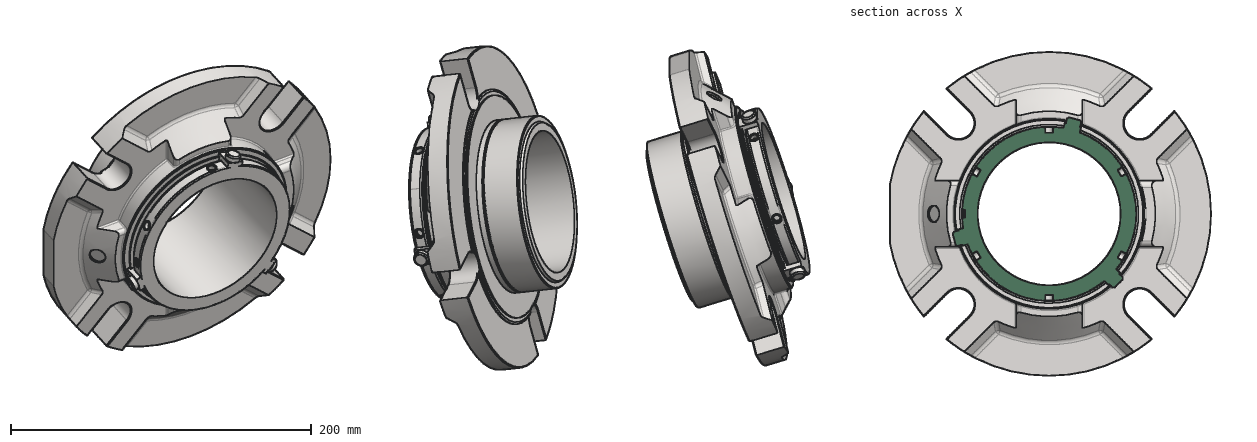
import math

import cadquery as cq

NOSE_END = 1.7
GROOVE_START = 25.6
GROOVE_END = 27.0
PILOT_FACE = 31.0
RIM_FACE = 31.9
FLANGE_BACK = 33.0
FLANGE_FRONT = 47.1
BOSS_FACE = 53.1
LOBE_FACE = 64.1
LOW_LOBE_FACE = 61.7
HUB_FACE = 66.0
SNAP_RING_START = 67.2
SNAP_RING_END = 68.0
DRIVE_RING_START = 69.7
DRIVE_RING_END = 79.0

TOLERANCE = 0.01

BORE = 95.0
SLEEVE = 98.4
NOSE = 107.92
GROOVE = 112.93
BARREL = 115.88
DRIVE_RING = 116.2
SNAP_RING_SEAT = 117.42
SNAP_RING = 118.95
HUB = 126.6
PILOT = 149.22
RIM = 157.4
FLANGE = 215.65

NOSE_CHAMFER_DEPTH = 1.0
RIM_CHAMFER_LENGTH = 0.6
RIM_CHAMFER_DEPTH = 1.4
HUB_CHAMFER = 0.8
DRIVE_RING_CHAMFER_LENGTH = 1.3
DRIVE_RING_CHAMFER_DEPTH = 0.5
EDGE_CHAMFER = 0.6
FLANGE_ROOT_FILLET = 4.0
POCKET_ROOT_FILLET = 1.0

FLAT_OFFSET = 106.0
SLOT_WIDTH = 21.0
SLOT_BOTTOM = 74.8
SLOT_ANGLES = (45, 135, 225, 315)

BOSS_BASE_HALF_WIDTH = 31.0
BOSS_TOP_HALF_WIDTH = BOSS_BASE_HALF_WIDTH - (BOSS_FACE - FLANGE_FRONT)

CONE_TOP_RADIUS = 68.3
LOBE_WIDTH = 44.0
LOBE_CORNER_RADIUS = 3.0
LOW_LOBE_CORNER_RADIUS = 4.2
LOBE_ANGLES = (0, 90, 180, 270)
LOW_LOBE_ANGLE = 0

PORT_DIAMETER = 11.0
PORT_X = 55.4
PORT_DEPTH = 1.6

SCREW_HOLE = 4.92
SCREW_COUNTERBORE = 6.6
SCREW_COUNTERBORE_DEPTH = 0.5
SCREW_HOLE_DEPTH = 4.0
SCREW_ANGLES = (30, 90, 150, 210, 270, 330)
SLOTTED_SCREW_ANGLE = 180
SLOTTED_SCREW_RECESS = 0.8
SCREW_SLOT_WIDTH = 1.2
SCREW_SLOT_DEPTH = 1.2
SCREW_X = (DRIVE_RING_START + DRIVE_RING_END) / 2

CLIP_ANGLES = (75, 195, 315)
CLIP_START = 66.3
CLIP_WIDTH = 11.4
CLIP_TOP = 61.2
CLIP_SEAT = 57.5
CLIP_LEG_BOTTOM = 54.4
CAP_DIAMETER = 10.0
CAP_TOP = 65.5
CAP_CHAMFER = 1.0
CAP_X = 74.63


def around_axis(shape, angle):
    """Turn a shape built towards +Y about X; 0 is +Y, 90 is +Z."""
    return shape.rotate((0, 0, 0), (1, 0, 0), angle)


def revolved(points):
    """Solid of revolution from (x, radius) points, closed along the axis."""
    closed = [(points[0][0], 0), *points, (points[-1][0], 0)]
    return cq.Workplane("XY").polyline(closed).close().revolve(360, (0, 0, 0), (1, 0, 0))


def cylinder(start, end, diameter):
    return revolved([(start, diameter / 2), (end, diameter / 2)])


def radial_pin(x, bottom, top, diameter):
    """Cylinder pointing towards +Y between two radii."""
    return cq.Workplane("XZ", origin=(x, bottom, 0)).circle(diameter / 2).extrude(bottom - top)


def block(x_range, y_range, width):
    """Block standing towards +Y, centred on Z."""
    length = x_range[1] - x_range[0]
    height = y_range[1] - y_range[0]
    corner = cq.Workplane("XY", origin=(x_range[0], y_range[0], 0))
    return corner.box(length, height, width, centered=(False, False, True))


def sleeve():
    return revolved([
        (0, NOSE / 2 - NOSE_CHAMFER_DEPTH),
        (NOSE_END, NOSE / 2),
        (NOSE_END, BARREL / 2 - EDGE_CHAMFER),
        (NOSE_END + EDGE_CHAMFER, BARREL / 2),
        (GROOVE_START, BARREL / 2),
        (GROOVE_START, GROOVE / 2),
        (GROOVE_END, GROOVE / 2),
        (GROOVE_END, BARREL / 2),
        (PILOT_FACE, BARREL / 2),
        (PILOT_FACE, SLEEVE / 2),
        (DRIVE_RING_END, SLEEVE / 2),
    ])


def flange_plate():
    plate = revolved([
        (PILOT_FACE, PILOT / 2),
        (RIM_FACE, PILOT / 2),
        (RIM_FACE, RIM / 2 - RIM_CHAMFER_DEPTH),
        (RIM_FACE + RIM_CHAMFER_LENGTH, RIM / 2),
        (FLANGE_BACK, RIM / 2),
        (FLANGE_BACK, FLANGE / 2),
        (FLANGE_FRONT, FLANGE / 2),
    ])
    beyond_flat = block((FLANGE_BACK, FLANGE_FRONT), (FLAT_OFFSET, FLANGE), FLANGE)
    return plate.cut(around_axis(beyond_flat, 180))


def slot_boss():
    profile = [
        (FLANGE_FRONT, -BOSS_BASE_HALF_WIDTH),
        (FLANGE_FRONT, BOSS_BASE_HALF_WIDTH),
        (BOSS_FACE, BOSS_TOP_HALF_WIDTH),
        (BOSS_FACE, -BOSS_TOP_HALF_WIDTH),
    ]
    inner_radius = SLEEVE / 2
    bar = cq.Workplane("XZ", origin=(0, inner_radius, 0)).polyline(profile).close()
    return bar.extrude(inner_radius - FLANGE).intersect(cylinder(FLANGE_FRONT, BOSS_FACE, FLANGE))


def cone_radius(x):
    return CONE_TOP_RADIUS + LOBE_FACE - x


def cone(end):
    return revolved([(FLANGE_FRONT, cone_radius(FLANGE_FRONT)), (end, cone_radius(end))])


def lobe(angle):
    is_low = angle == LOW_LOBE_ANGLE
    top = LOW_LOBE_FACE if is_low else LOBE_FACE
    corner_radius = LOW_LOBE_CORNER_RADIUS if is_low else LOBE_CORNER_RADIUS
    envelope = block((FLANGE_FRONT, top), (0, FLANGE / 2), LOBE_WIDTH)
    envelope = envelope.edges(">X and |Y").fillet(corner_radius)
    return around_axis(envelope.intersect(cone(top)), angle)


def hub():
    return revolved([
        (FLANGE_FRONT, HUB / 2),
        (HUB_FACE - HUB_CHAMFER, HUB / 2),
        (HUB_FACE, HUB / 2 - HUB_CHAMFER),
        (HUB_FACE, SNAP_RING_SEAT / 2),
        (SNAP_RING_START, SNAP_RING_SEAT / 2),
        (SNAP_RING_START, SNAP_RING / 2),
        (SNAP_RING_END, SNAP_RING / 2),
    ])


def middle_of(edge):
    """Station along X and radius of the middle of an edge."""
    middle = edge.positionAt(0.5)
    return middle.x, math.hypot(middle.y, middle.z)


def is_flange_root(edge):
    """True for the inside corners where cone and pads meet the flange and each other."""
    x, radius = middle_of(edge)
    below_pad_tops = FLANGE_FRONT - TOLERANCE < x < BOSS_FACE - TOLERANCE
    return below_pad_tops and radius < FLAT_OFFSET - TOLERANCE


def is_back_rim(edge):
    """True for the outer rim of the flange's back face, flat included."""
    x, radius = middle_of(edge)
    return abs(x - FLANGE_BACK) < TOLERANCE and radius > FLAT_OFFSET - TOLERANCE


def is_pocket_root(edge):
    """True for the inside corners of the pockets between the lobes."""
    x, radius = middle_of(edge)
    on_floor = abs(x - BOSS_FACE) < TOLERANCE and radius < cone_radius(BOSS_FACE) - TOLERANCE
    on_hub = abs(radius - HUB / 2) < TOLERANCE and BOSS_FACE < x < LOW_LOBE_FACE
    return on_floor or (on_hub and edge.geomType() == "LINE")


def bolt_slot(angle):
    """Open slot with its back and front rims chamfered."""
    centre = SLOT_BOTTOM + SLOT_WIDTH / 2

    def slot_outline(x, width):
        return (
            cq.Workplane("YZ", origin=(x, 0, 0))
            .moveTo(FLANGE, -width / 2)
            .lineTo(centre, -width / 2)
            .threePointArc((centre - width / 2, 0), (centre, width / 2))
            .lineTo(FLANGE, width / 2)
            .close()
        )

    slot = slot_outline(PILOT_FACE, SLOT_WIDTH).extrude(BOSS_FACE - PILOT_FACE)
    wide = SLOT_WIDTH + 2 * EDGE_CHAMFER
    back = slot_outline(FLANGE_BACK, wide).extrude(EDGE_CHAMFER, taper=45)
    back = back.cut(cylinder(PILOT_FACE, BOSS_FACE, RIM))
    front = slot_outline(BOSS_FACE, wide).extrude(-EDGE_CHAMFER, taper=45)
    return around_axis(slot.union(back).union(front), angle)


def gland():
    body = flange_plate().union(cone(BOSS_FACE))
    for angle in SLOT_ANGLES:
        body = body.union(around_axis(slot_boss(), angle))
    roots = [edge for edge in body.edges().vals() if is_flange_root(edge)]
    body = body.newObject(roots).fillet(FLANGE_ROOT_FILLET)
    outer_rim = [edge for edge in body.edges().vals() if is_back_rim(edge)]
    body = body.newObject(outer_rim).chamfer(EDGE_CHAMFER)
    body = body.union(hub())
    for angle in LOBE_ANGLES:
        body = body.union(lobe(angle))
    pocket_roots = [edge for edge in body.edges().vals() if is_pocket_root(edge)]
    body = body.newObject(pocket_roots).fillet(POCKET_ROOT_FILLET)
    for angle in SLOT_ANGLES:
        body = body.cut(bolt_slot(angle))
    return body


def flush_port():
    """Blind hole entering the -Y lobe square to its cone."""
    centre = cq.Vector(PORT_X, -cone_radius(PORT_X), 0)
    inward = cq.Vector(-1, 1, 0).normalized()
    clearance = PORT_DIAMETER / 2
    start = centre - inward * clearance
    return cq.Workplane(cq.Solid.makeCylinder(PORT_DIAMETER / 2, PORT_DEPTH + clearance, start, inward))


def screw_hole(depth):
    """Counterbored hole from the rim of the drive ring."""
    surface = DRIVE_RING / 2
    hole = radial_pin(SCREW_X, surface - depth, surface, SCREW_HOLE)
    mouth_bottom = surface - SCREW_COUNTERBORE_DEPTH
    mouth = radial_pin(SCREW_X, mouth_bottom, surface + SCREW_HOLE_DEPTH, SCREW_COUNTERBORE)
    return hole.union(mouth)


def drive_ring():
    low_edge = DRIVE_RING / 2 - DRIVE_RING_CHAMFER_DEPTH
    ring = revolved([
        (DRIVE_RING_START, low_edge),
        (DRIVE_RING_START + DRIVE_RING_CHAMFER_LENGTH, DRIVE_RING / 2),
        (DRIVE_RING_END - DRIVE_RING_CHAMFER_LENGTH, DRIVE_RING / 2),
        (DRIVE_RING_END, low_edge),
    ])
    for angle in SCREW_ANGLES:
        ring = ring.cut(around_axis(screw_hole(SCREW_HOLE_DEPTH), angle))
    screw_top = DRIVE_RING / 2 - SLOTTED_SCREW_RECESS
    driver_slot = block(
        (SCREW_X - SCREW_SLOT_WIDTH / 2, SCREW_X + SCREW_SLOT_WIDTH / 2),
        (screw_top - SCREW_SLOT_DEPTH, screw_top),
        SCREW_HOLE,
    )
    slotted_screw = screw_hole(SLOTTED_SCREW_RECESS).union(driver_slot)
    return ring.cut(around_axis(slotted_screw, SLOTTED_SCREW_ANGLE))


def setting_clip():
    """Clip plate on the drive ring, hooked over the snap ring, with its cap screw."""
    plate = block((CLIP_START, DRIVE_RING_END), (CLIP_SEAT, CLIP_TOP), CLIP_WIDTH)
    leg = block((SNAP_RING_END, DRIVE_RING_START), (CLIP_LEG_BOTTOM, CLIP_TOP), CLIP_WIDTH)
    cap = radial_pin(CAP_X, CLIP_TOP, CAP_TOP, CAP_DIAMETER).faces(">Y").chamfer(CAP_CHAMFER)
    return plate.union(leg).union(cap)


result = gland().union(sleeve()).union(drive_ring())
for clip_angle in CLIP_ANGLES:
    result = result.union(around_axis(setting_clip(), clip_angle))
bore = cylinder(0, DRIVE_RING_END, BORE)
result = result.cut(bore).cut(flush_port())